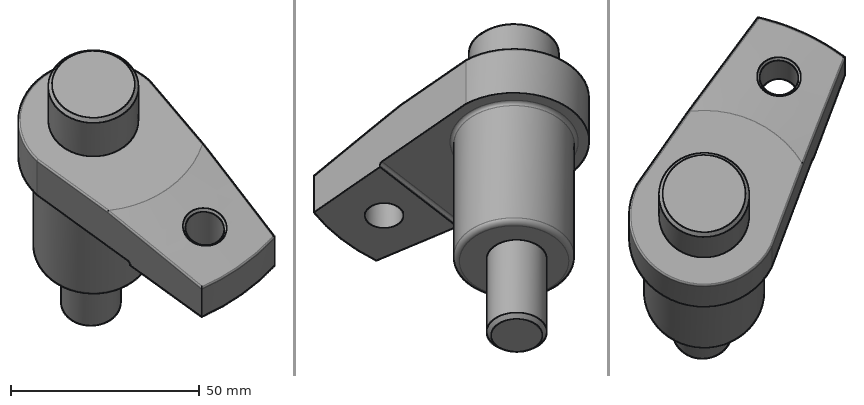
import cadquery as cq
import math

total_height = 99.5
body_bottom = 26.5
pad_bottom = 66.6
lever_bottom = 68.0
lever_top = 83.5
lever_tip_top = 79.6

lower_pin_diameter = 16.0
lower_pin_offset = -1.0
lower_pin_chamfer = 1.2
body_diameter = 32.0
body_fillet = 1.5
shoulder_radius = 1.0
upper_pin_diameter = 24.0
upper_pin_chamfer = 1.0

hub_radius = 20.0
lever_reach = 59.8
tip_half_width = 12.9
slope_start_radius = 29.9
pad_start = 32.9
pad_corner_fillet = 0.8
lever_edge_fillet = 0.5
hole_position = 44.9
hole_diameter = 10.2
hole_chamfer = 0.7


def cylinder(diameter, bottom, top, x=0.0):
    return cq.Workplane("XY", origin=(x, 0, bottom)).circle(diameter / 2).extrude(top - bottom)


def lever_blank():
    """Round hub with straight tapering sides and a tip arc centred on the hub."""
    tip_x = math.sqrt(lever_reach**2 - tip_half_width**2)
    side_slope = (hub_radius - tip_half_width) / tip_x
    end_half_width = hub_radius - side_slope * lever_reach
    outline = (
        cq.Workplane("XY", origin=(0, 0, pad_bottom))
        .moveTo(0, hub_radius)
        .threePointArc((-hub_radius, 0), (0, -hub_radius))
        .lineTo(lever_reach, -end_half_width)
        .lineTo(lever_reach, end_half_width)
        .close()
        .extrude(lever_top - pad_bottom)
    )
    return outline.intersect(cylinder(2 * lever_reach, pad_bottom, lever_top))


def underside_recess():
    """Block removed beside the pad, rounded along its inner upper corner."""
    depth = lever_bottom - pad_bottom
    return (
        cq.Workplane("XY", origin=(0, 0, pad_bottom))
        .rect(2 * pad_start, 3 * hub_radius)
        .extrude(depth)
        .edges(">X and >Z")
        .fillet(pad_corner_fillet)
    )


def conical_slope():
    """Ring removed above the cone that falls from the flat top to the tip."""
    slope = (lever_top - lever_tip_top) / (lever_reach - slope_start_radius)
    outer_radius = lever_reach + hub_radius
    outer_z = lever_top - slope * (outer_radius - slope_start_radius)
    return (
        cq.Workplane("XZ")
        .polyline([(slope_start_radius, lever_top), (outer_radius, lever_top), (outer_radius, outer_z)])
        .close()
        .revolve(360, (0, 0, 0), (0, 1, 0))
    )


def drill_tip_hole(lever):
    """Vertical through hole with a chamfer of even width along the sloping top."""
    drilled = lever.cut(cylinder(hole_diameter, pad_bottom, lever_top, hole_position))
    rim_zone = cq.selectors.BoxSelector(
        (hole_position - hole_diameter, -hole_diameter, lever_tip_top),
        (hole_position + hole_diameter, hole_diameter, lever_top),
        boundingbox=True,
    )
    return drilled.edges(rim_zone).chamfer(hole_chamfer)


def shoulder_fillet():
    """Concave ring blending the body into the underside of the lever."""
    body_radius = body_diameter / 2
    arc_offset = shoulder_radius * (1 - math.sqrt(0.5))
    return (
        cq.Workplane("XZ")
        .moveTo(body_radius - shoulder_radius, lever_bottom)
        .lineTo(body_radius + shoulder_radius, lever_bottom)
        .threePointArc(
            (body_radius + arc_offset, lever_bottom - arc_offset),
            (body_radius, lever_bottom - shoulder_radius),
        )
        .lineTo(body_radius - shoulder_radius, lever_bottom - shoulder_radius)
        .close()
        .revolve(360, (0, 0, 0), (0, 1, 0))
    )


def round_top_rim(lever):
    """Round the rim of the top, leaving the line where the flat meets the slope."""
    rim_zone = cq.selectors.BoxSelector(
        (-lever_reach, -2 * hub_radius, lever_tip_top - lever_edge_fillet),
        (2 * lever_reach, 2 * hub_radius, total_height),
        boundingbox=True,
    )
    slope_line_zone = cq.selectors.BoxSelector(
        (hub_radius, -1, lever_tip_top),
        (slope_start_radius, 1, total_height),
    )
    return lever.edges(rim_zone - slope_line_zone).fillet(lever_edge_fillet)


lever = lever_blank().cut(underside_recess()).cut(conical_slope())
lever = round_top_rim(lever)
lever = drill_tip_hole(lever)

lower_pin = cylinder(lower_pin_diameter, 0, body_bottom, lower_pin_offset)
lower_pin = lower_pin.faces("<Z").chamfer(lower_pin_chamfer)
body = cylinder(body_diameter, body_bottom, lever_bottom).faces("<Z").edges().fillet(body_fillet)
upper_pin = cylinder(upper_pin_diameter, lever_top, total_height).faces(">Z").chamfer(upper_pin_chamfer)

neck = shoulder_fillet()
result = lever.union(body).union(neck).union(lower_pin).union(upper_pin)